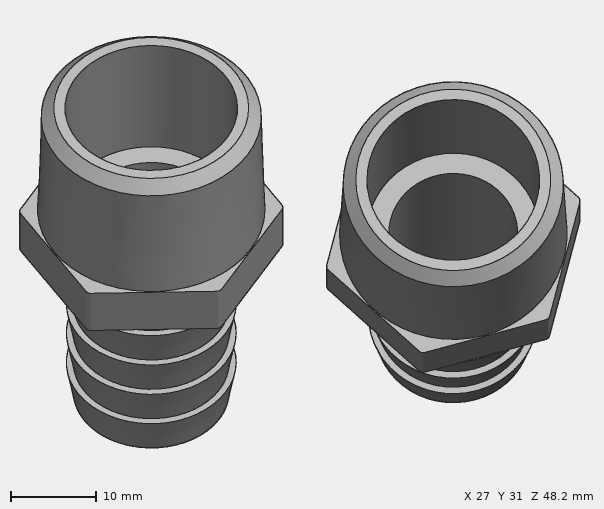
import cadquery as cq

total_height = 48.25
hex_bottom = 24.7
hex_height = 6.3
hex_top = hex_bottom + hex_height

hex_across_flats = 27.0
hex_corner_fillet = 0.68

spigot_base_radius = 13.35
spigot_top_radius = 12.95
chamfer_width = 1.5
chamfer_height = 1.4

barb_count = 4
barbed_length = 20.0
barb_pitch = barbed_length / barb_count
barb_crest_radius = 10.0
barb_root_radius = 9.15

hose_bore_radius = 7.6
spigot_bore_radius = 10.15


def make_cone(bottom, top, bottom_radius, top_radius):
    """Solid cone frustum on the Z axis between two heights."""
    profile = [(0, bottom), (bottom_radius, bottom), (top_radius, top), (0, top)]
    return cq.Workplane("XZ").polyline(profile).close().revolve(360, (0, 0), (0, 1))


def make_cylinder(bottom, top, radius):
    """Solid cylinder on the Z axis between two heights."""
    return cq.Workplane("XY").workplane(offset=bottom).circle(radius).extrude(top - bottom)


def make_hexagon():
    """Hexagonal collar with rounded vertical corners."""
    return (
        cq.Workplane("XY")
        .workplane(offset=hex_bottom)
        .polygon(6, hex_across_flats, circumscribed=True)
        .extrude(hex_height)
        .edges("|Z")
        .fillet(hex_corner_fillet)
    )


def make_spigot():
    """Tapered spigot with a chamfered rim."""
    chamfer_bottom = total_height - chamfer_height
    taper = make_cone(hex_top, chamfer_bottom, spigot_base_radius, spigot_top_radius)
    rim = make_cone(chamfer_bottom, total_height, spigot_top_radius, spigot_top_radius - chamfer_width)
    return taper.union(rim)


def make_hose_tail():
    """Stacked barbs, widening upwards, and the flared neck under the hexagon."""
    tail = make_cone(barbed_length, hex_bottom, barb_root_radius, barb_crest_radius)
    for index in range(barb_count):
        bottom = index * barb_pitch
        barb = make_cone(bottom, bottom + barb_pitch, barb_root_radius, barb_crest_radius)
        tail = tail.union(barb)
    return tail


body = make_hexagon().union(make_spigot()).union(make_hose_tail())
hose_bore = make_cylinder(0, total_height, hose_bore_radius)
spigot_bore = make_cylinder(hex_top, total_height, spigot_bore_radius)
result = body.cut(hose_bore).cut(spigot_bore)